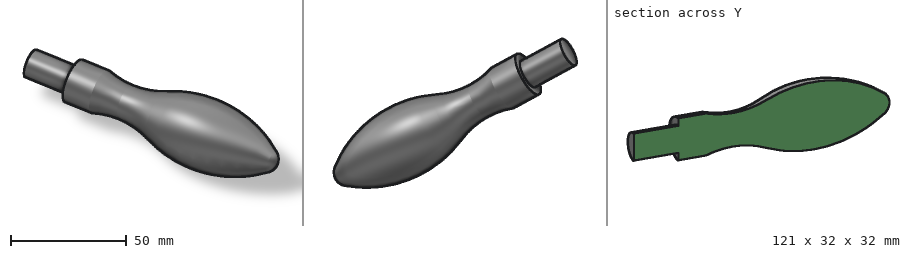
import cadquery as cq
import math


stud_diameter = 13.0
stud_length = 21.0
collar_diameter = 20.0
neck_diameter = 16.0
bulb_diameter = 32.0
grip_length = 100.0
bulb_position = 64.0
neck_arc_radius = 40.0
bulb_arc_radius = 56.0

stud_radius = stud_diameter / 2
collar_radius = collar_diameter / 2
neck_radius = neck_diameter / 2
bulb_radius = bulb_diameter / 2

bulb_center_r = bulb_radius - bulb_arc_radius

tip_span = grip_length - bulb_position
tip_power = bulb_arc_radius**2 - bulb_center_r**2 - tip_span**2
tip_arc_radius = tip_power / (2 * (bulb_arc_radius - tip_span))
tip_center_x = grip_length - tip_arc_radius

neck_center_r = neck_radius + neck_arc_radius
neck_to_bulb = math.sqrt((neck_arc_radius + bulb_arc_radius) ** 2 - (neck_center_r - bulb_center_r) ** 2)
neck_position = bulb_position - neck_to_bulb

collar_length = neck_position - math.sqrt(neck_arc_radius**2 - (neck_center_r - collar_radius) ** 2)


def neck_r(x):
    """Radius of the handle at x along the neck arc."""
    return neck_center_r - math.sqrt(neck_arc_radius**2 - (x - neck_position) ** 2)


def bulb_r(x):
    """Radius of the handle at x along the bulb arc."""
    return bulb_center_r + math.sqrt(bulb_arc_radius**2 - (x - bulb_position) ** 2)


def tip_r(x):
    """Radius of the handle at x along the tip arc."""
    return math.sqrt(tip_arc_radius**2 - (x - tip_center_x) ** 2)


def on_profile(x, radius):
    """Profile point at distance radius from the axis, on its -Y side."""
    return (x, -radius)


def profile_arc(outline, start_x, end_x, radius_at):
    """Continue the outline from start_x along an arc to end_x."""
    middle_x = (start_x + end_x) / 2
    middle = on_profile(middle_x, radius_at(middle_x))
    end = on_profile(end_x, radius_at(end_x))
    return outline.threePointArc(middle, end)


def make_handle():
    """Revolve the half profile of stud, collar, neck, bulb and tip about the X axis."""
    neck_end = neck_position + neck_to_bulb * neck_arc_radius / (neck_arc_radius + bulb_arc_radius)
    bulb_to_tip = tip_center_x - bulb_position
    bulb_end = bulb_position + bulb_to_tip * bulb_arc_radius / (bulb_arc_radius - tip_arc_radius)

    outline = (
        cq.Workplane("XY")
        .moveTo(-stud_length, 0)
        .lineTo(*on_profile(-stud_length, stud_radius))
        .lineTo(*on_profile(0, stud_radius))
        .lineTo(*on_profile(0, collar_radius))
        .lineTo(*on_profile(collar_length, collar_radius))
    )
    outline = profile_arc(outline, collar_length, neck_position, neck_r)
    outline = profile_arc(outline, neck_position, neck_end, neck_r)
    outline = profile_arc(outline, neck_end, bulb_end, bulb_r)
    outline = profile_arc(outline, bulb_end, grip_length, tip_r)
    return outline.close().revolve(360, (0, 0, 0), (1, 0, 0), clean=False)


result = make_handle()